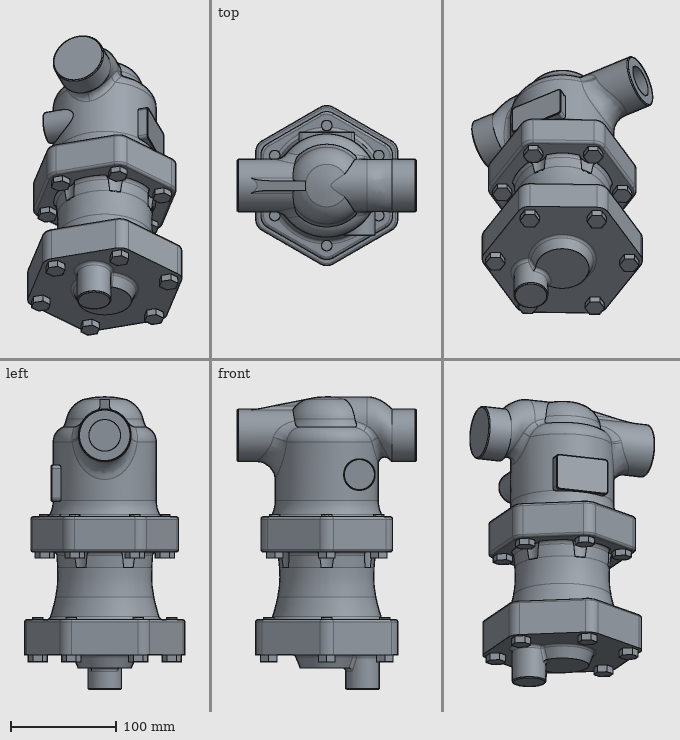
import cadquery as cq
import math

top_z = 36.7
total_height = 278.0
bottom_z = top_z - total_height
flange_height = 33.5
upper_flange_top = -77.2
upper_flange_bottom = upper_flange_top - flange_height
lower_flange_top = -175.0
lower_flange_bottom = lower_flange_top - flange_height
cone_bottom = -221.0

port_span = 170.0
port_end_x = port_span / 2
port_dia = 50.0
port_chamfer = 1.0
port_bore_dia = 30.0
port_bore_depth = 16.0
inlet_blend = 17.0
inlet_kept_x = 20.0
outlet_bend_start = 38.0
outlet_bend_end = 62.0
outlet_bend_sections = 5
outlet_crown_clearance = 0.1
outlet_axis_rise = top_z - port_dia / 2 - outlet_crown_clearance
outlet_shoulder_blend = 6.0
outlet_dome_blend = 15.0

body_radius = 98.0 / 2
shoulder_radius = 15.0
shoulder_center_z = -6.2
shoulder_center_x = body_radius - shoulder_radius
shoulder_top_z = shoulder_center_z + shoulder_radius
shoulder_end_radius = 39.3
dome_radius = 36.4
dome_base_z = 15.5
dome_mid = (29.6, 28.0)
crown_radius = 20.2
crown_edge_z = 34.1
body_flare_top = -62.0
body_flare_bottom = -75.0
body_flare_radius = 52.0
body_foot_radius = 55.5

neck_radius = 90.0 / 2
neck_top_radius = 46.0
neck_fillet_radius = 48.5
neck_fillet_z = -114.0
neck_fillet_mid = (46.7, -112.2)
neck_waist_z = -125.7
neck_mid_radius = 46.6
neck_mid_z = -153.3
neck_flare_radius = 51.5
neck_flare_z = -172.0
neck_foot_radius = 54.5

upper_flange_width = 125.0
lower_flange_width = 135.0
flange_corner_radius = 12.5
upper_flange_edge = 2.5
lower_flange_edge = 2.0

bolt_count = 6
bolt_first_angle = 30.0
bolt_dia = 10.0
bolt_projection = 2.0
bolt_head_flats = 16.0
upper_bolt_circle = 57.0
lower_bolt_circle = 63.6
upper_head_height = 6.0
lower_head_height = 6.7
clearance_radius = 13.35

side_boss_dia = 30.0
side_boss_x = 31.0
side_boss_z = -37.3
side_boss_face_y = -47.5
side_boss_chamfer = (side_boss_dia - 28.57) / 2
plate_width = 52.6
plate_face_y = 50.9
plate_top = -28.4
plate_bottom = -62.7
plate_corner_radius = 3.0
plate_edge = 0.7
cone_bottom_radius = 25.3
cone_top_radius = 30.3
drain_dia = 32.0
drain_x = 34.0
drain_end_x = drain_x + drain_dia / 2
drain_chamfer = 1.0
drain_blend = 3.0

rib_width = 9.0
rib_sink = 0.6
rib_blend = 4.0
rib_outer_x = -69.0
rib_inner_x = -crown_radius


def revolve_about_z(profile):
    """Turn a closed XZ half-profile about the body axis."""
    return profile.revolve(360, (0, 0), (0, 1))


def dome_outline():
    """Open half-profile of the dome, from its apex down to its base."""
    crown_sagitta = top_z - crown_edge_z
    crown_sphere = (crown_radius**2 + crown_sagitta**2) / (2 * crown_sagitta)
    half_angle = math.asin(crown_radius / crown_sphere) / 2
    crown_mid_x = crown_sphere * math.sin(half_angle)
    crown_mid_z = top_z - crown_sphere * (1 - math.cos(half_angle))
    return (
        cq.Workplane("XZ")
        .moveTo(0, top_z)
        .threePointArc((crown_mid_x, crown_mid_z), (crown_radius, crown_edge_z))
        .threePointArc(dome_mid, (dome_radius, dome_base_z))
    )


def bonnet():
    """Upper body: dome, rounded shoulder, cylinder and flared foot."""
    shoulder_end_x = shoulder_end_radius - shoulder_center_x
    shoulder_end_z = shoulder_center_z + math.sqrt(shoulder_radius**2 - shoulder_end_x**2)
    profile = (
        dome_outline()
        .tangentArcPoint((shoulder_end_radius, shoulder_end_z), relative=False)
        .radiusArc((body_radius, shoulder_center_z), shoulder_radius)
        .lineTo(body_radius, body_flare_top)
        .tangentArcPoint((body_flare_radius, body_flare_bottom), relative=False)
        .tangentArcPoint((body_foot_radius, upper_flange_top), relative=False)
        .lineTo(0, upper_flange_top)
        .close()
    )
    return revolve_about_z(profile)


def dome_column():
    """Dome continued straight down below the underside of the outlet pipe."""
    column_bottom = -port_dia
    profile = dome_outline().lineTo(dome_radius, column_bottom).lineTo(0, column_bottom).close()
    return revolve_about_z(profile)


def shoulder_block():
    """Body cylinder closed by the rounded shoulder and a flat top, without the dome."""
    profile = (
        cq.Workplane("XZ")
        .moveTo(0, shoulder_top_z)
        .lineTo(shoulder_center_x, shoulder_top_z)
        .radiusArc((body_radius, shoulder_center_z), shoulder_radius)
        .lineTo(body_radius, body_flare_top)
        .lineTo(0, body_flare_top)
        .close()
    )
    return revolve_about_z(profile)


def port_pipe(start_x, end_x, axis_z=0.0):
    """Solid pipe of port diameter along X between two X positions."""
    section = cq.Workplane("YZ", origin=(start_x, 0, axis_z)).circle(port_dia / 2)
    return section.extrude(end_x - start_x)


def blend_seam(joined, radius, side, reach):
    """Round the free-form seam edges of a pipe that leaves the body on one X side."""
    seam = [
        edge
        for edge in joined.edges().vals()
        if edge.geomType() not in ("LINE", "CIRCLE") and 0 < side * edge.Center().x < reach
    ]
    return joined.newObject(seam).fillet(radius)


def inlet_pipe():
    """Straight inlet pipe from the body axis to the inlet face."""
    return port_pipe(-port_end_x, 0).faces("<X").chamfer(port_chamfer)


def inlet_on_shoulder():
    """Inlet pipe joined to the shoulder and the body cylinder with a large blend."""
    joined = shoulder_block().union(inlet_pipe())
    blended = blend_seam(joined, inlet_blend, -1, body_radius)
    kept = cq.Workplane("XY", origin=(-port_end_x, 0, 0)).box(
        2 * (port_end_x - inlet_kept_x), 2 * body_radius, 4 * port_dia
    )
    return blended.intersect(kept)


def rib_on_inlet():
    """Rib standing on the inlet pipe with its two long foot edges rounded."""
    joined = dome_column().union(inlet_pipe()).union(rib())
    foot_height = port_dia / 2 - rib_width
    foot_zone = cq.selectors.BoxSelector(
        (rib_outer_x, -rib_width, foot_height), (-dome_radius, rib_width, port_dia / 2)
    )
    return joined.edges("|X").edges(foot_zone).fillet(rib_blend)


def outlet_pipe():
    """Outlet pipe: level with the crown over the dome, then falling to the port axis."""
    bend_length = outlet_bend_end - outlet_bend_start
    sections = []
    for index in range(outlet_bend_sections):
        fraction = index / (outlet_bend_sections - 1)
        center_x = outlet_bend_start + fraction * bend_length
        center_z = outlet_axis_rise * (1 - fraction**2)
        center = cq.Vector(center_x, 0, center_z)
        sections.append(cq.Wire.makeCircle(port_dia / 2, center, cq.Vector(1, 0, 0)))
    bend = cq.Workplane(cq.Solid.makeLoft(sections))
    end_pipe = port_pipe(outlet_bend_end, port_end_x).faces(">X").chamfer(port_chamfer)
    return port_pipe(0, outlet_bend_start, outlet_axis_rise).union(bend).union(end_pipe)


def outlet_on_shoulder():
    """Outlet pipe blended into the shoulder and the body cylinder."""
    joined = shoulder_block().union(outlet_pipe())
    return blend_seam(joined, outlet_shoulder_blend, 1, body_radius)


def outlet_on_dome():
    """Level stretch of the outlet blended into the dome, kept above the shoulder."""
    joined = dome_column().union(port_pipe(0, port_end_x, outlet_axis_rise))
    blended = blend_seam(joined, outlet_dome_blend, 1, body_radius)
    kept_height = top_z - shoulder_center_z
    kept = cq.Workplane("XY", origin=(0, 0, shoulder_center_z)).box(
        2 * outlet_bend_start, 2 * body_radius, kept_height, centered=(True, True, False)
    )
    return blended.intersect(kept)


def rib():
    """Straight-topped web between the inlet pipe and the crown of the dome."""
    outline = (
        cq.Workplane("XZ", origin=(0, rib_width / 2, 0))
        .moveTo(rib_outer_x, port_dia / 2 - rib_sink)
        .lineTo(rib_inner_x, crown_edge_z)
        .lineTo(rib_inner_x, 0)
        .lineTo(rib_outer_x, 0)
        .close()
    )
    return outline.extrude(rib_width)


def inlet_bore():
    """Blind bore in the inlet face."""
    start = cq.Workplane("YZ", origin=(-port_end_x, 0, 0))
    return start.circle(port_bore_dia / 2).extrude(port_bore_depth)


def side_boss():
    """Round boss on the -Y side with a chamfered face."""
    start = cq.Workplane("XZ", origin=(side_boss_x, side_boss_face_y, side_boss_z))
    boss = start.circle(side_boss_dia / 2).extrude(side_boss_face_y)
    return boss.faces("<Y").chamfer(side_boss_chamfer)


def name_plate():
    """Flat rectangular pad on the +Y side with rounded edges."""
    height = plate_top - plate_bottom
    pad = cq.Workplane("XY", origin=(0, 0, plate_bottom)).box(
        plate_width, plate_face_y, height, centered=(True, False, False)
    )
    return pad.edges("|Y").fillet(plate_corner_radius).faces(">Y").edges().chamfer(plate_edge)


def neck():
    """Waisted body between the two flanges, flaring towards the lower one."""
    profile = (
        cq.Workplane("XZ")
        .moveTo(0, upper_flange_bottom)
        .lineTo(neck_fillet_radius, upper_flange_bottom)
        .threePointArc(neck_fillet_mid, (neck_top_radius, neck_fillet_z))
        .lineTo(neck_radius, neck_waist_z)
        .tangentArcPoint((neck_mid_radius, neck_mid_z), relative=False)
        .tangentArcPoint((neck_flare_radius, neck_flare_z), relative=False)
        .tangentArcPoint((neck_foot_radius, lower_flange_top), relative=False)
        .lineTo(0, lower_flange_top)
        .close()
    )
    return revolve_about_z(profile)


def hex_flange(width, top):
    """Hexagonal flange with rounded corners, flats facing -X and +X."""
    across_corners = width / math.cos(math.pi / bolt_count)
    start = cq.Workplane("XY", origin=(0, 0, top - flange_height))
    turned = start.transformed(rotate=(0, 0, bolt_first_angle))
    prism = turned.polygon(bolt_count, across_corners).extrude(flange_height)
    return prism.edges("|Z").fillet(flange_corner_radius)


def bolt_points(circle_radius):
    """Bolt centres, one behind each flange corner."""
    points = []
    for index in range(bolt_count):
        angle = math.radians(bolt_first_angle + index * 360 / bolt_count)
        points.append((circle_radius * math.cos(angle), circle_radius * math.sin(angle)))
    return points


def bolts(circle_radius, flange_top, head_height):
    """Bolt tips above a flange and hexagon heads below it."""
    flange_bottom = flange_top - flange_height
    head_corners = bolt_head_flats / math.cos(math.pi / 6)
    tips = cq.Workplane("XY", origin=(0, 0, flange_bottom)).pushPoints(bolt_points(circle_radius))
    tips = tips.circle(bolt_dia / 2).extrude(flange_height + bolt_projection)
    heads = cq.Workplane("XY", origin=(0, 0, flange_bottom - head_height))
    heads = heads.polarArray(circle_radius, 0, 360, bolt_count).polygon(6, head_corners)
    heads = heads.extrude(head_height).rotate((0, 0, 0), (0, 0, 1), bolt_first_angle)
    return tips.union(heads)


def head_clearances():
    """Round scallops in the neck around the upper bolt heads."""
    depth = upper_flange_bottom - neck_waist_z
    start = cq.Workplane("XY", origin=(0, 0, neck_waist_z))
    return start.pushPoints(bolt_points(upper_bolt_circle)).circle(clearance_radius).extrude(depth)


def drain():
    """Conical bottom boss and offset drain pipe, blended together under a mounting disc."""
    cone = (
        cq.Workplane("XZ")
        .moveTo(0, lower_flange_bottom)
        .lineTo(cone_top_radius, lower_flange_bottom)
        .lineTo(cone_bottom_radius, cone_bottom)
        .lineTo(0, cone_bottom)
        .close()
    )
    pipe = cq.Workplane("XY", origin=(drain_x, 0, bottom_z)).circle(drain_dia / 2)
    pipe = pipe.extrude(lower_flange_bottom - bottom_z)
    disc = cq.Workplane("XY", origin=(0, 0, lower_flange_bottom))
    disc = disc.circle(lower_flange_width / 2).extrude(flange_height / 2)
    joined = revolve_about_z(cone).union(pipe).union(disc)
    upper_roots = cq.selectors.BoxSelector(
        (-drain_end_x, -cone_top_radius, cone_bottom + drain_blend),
        (drain_end_x, cone_top_radius, lower_flange_bottom + drain_blend),
    )
    pipe_under_cone = cq.selectors.BoxSelector(
        (0, -cone_top_radius, cone_bottom - drain_blend),
        (drain_x, cone_top_radius, cone_bottom + drain_blend),
    )
    rounded = joined.edges(upper_roots + pipe_under_cone).fillet(drain_blend)
    return rounded.faces("<Z").chamfer(drain_chamfer)


upper_flange = hex_flange(upper_flange_width, upper_flange_top)
upper_flange = upper_flange.faces("<Z or >Z").edges().fillet(upper_flange_edge)
lower_flange = hex_flange(lower_flange_width, lower_flange_top)
lower_flange = lower_flange.faces(">Z").edges().fillet(lower_flange_edge)

result = (
    bonnet()
    .union(outlet_on_dome())
    .union(outlet_on_shoulder())
    .union(rib_on_inlet())
    .union(inlet_on_shoulder())
    .union(side_boss())
    .union(name_plate())
    .cut(inlet_bore())
    .union(neck().cut(head_clearances()))
    .union(upper_flange)
    .union(lower_flange)
    .union(drain())
    .union(bolts(upper_bolt_circle, upper_flange_top, upper_head_height))
    .union(bolts(lower_bolt_circle, lower_flange_top, lower_head_height))
)